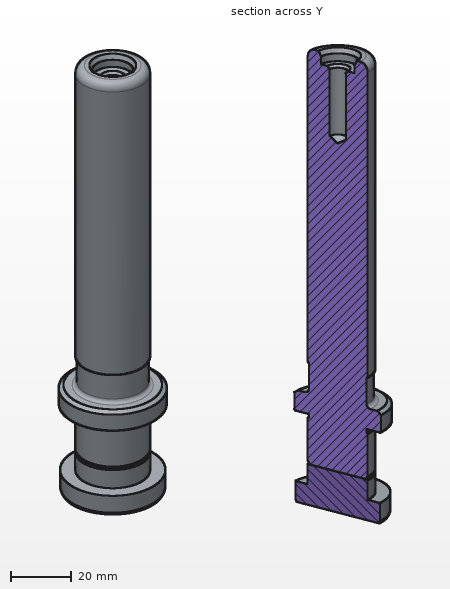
import cadquery as cq
import math

total_height = 162.0
flange_thickness = 7.5
spigot_top = 14.4
collar_bottom = 32.2
collar_top = 39.9
neck_top = 50.4

shank_radius = 12.5
neck_radius = 12.0
collar_radius = 18.0
flange_radius = 17.5

nose_fillet = 3.0
step_chamfer = shank_radius - neck_radius
lead_in_width = 1.0
lead_in_height = 1.3
undercut_height = 1.5
undercut_floor_height = 1.0
collar_fillet = 1.5
collar_chamfer_width = 1.6
collar_chamfer_height = 1.1
collar_lower_chamfer = 0.5

countersink_radius = 7.8
countersink_depth = 1.8
recess_radius = 6.8
recess_depth = 4.5
thread_mouth_radius = 4.2
thread_core_radius = 3.2
thread_depth = 29.2
drill_tip_angle = 120.0

flange_chamfer_width = 0.5
flange_chamfer_height = 1.0


def revolve_profile(profile):
    """Revolve a closed (radius, height) half section about the Z axis."""
    return profile.close().revolve(360, (0, 0, 0), (0, 1, 0))


def make_pillar_blank():
    """Guide pillar: mounting shank, collar, relieved neck and guide shank with a rounded nose."""
    arc_offset = 1 - math.sqrt(0.5)
    fillet_top = collar_top + collar_fillet
    profile = (
        cq.Workplane("XZ")
        .moveTo(0, spigot_top)
        .lineTo(shank_radius - lead_in_width, spigot_top)
        .lineTo(shank_radius, spigot_top + lead_in_height)
        .lineTo(shank_radius, collar_bottom - undercut_height)
        .lineTo(neck_radius, collar_bottom - undercut_floor_height)
        .lineTo(neck_radius, collar_bottom)
        .lineTo(collar_radius - collar_lower_chamfer, collar_bottom)
        .lineTo(collar_radius, collar_bottom + collar_lower_chamfer)
        .lineTo(collar_radius, collar_top - collar_chamfer_height)
        .lineTo(collar_radius - collar_chamfer_width, collar_top)
        .lineTo(neck_radius + collar_fillet, collar_top)
        .threePointArc(
            (neck_radius + collar_fillet * arc_offset, collar_top + collar_fillet * arc_offset),
            (neck_radius, fillet_top),
        )
        .lineTo(neck_radius, neck_top)
        .lineTo(shank_radius, neck_top + step_chamfer)
        .lineTo(shank_radius, total_height - nose_fillet)
        .threePointArc(
            (shank_radius - nose_fillet * arc_offset, total_height - nose_fillet * arc_offset),
            (shank_radius - nose_fillet, total_height),
        )
        .lineTo(0, total_height)
    )
    return revolve_profile(profile)


def make_nose_bore():
    """Countersunk recess followed by a chamfered blind hole with a drill-tip bottom."""
    recess_floor = total_height - recess_depth
    mouth_chamfer = thread_mouth_radius - thread_core_radius
    hole_bottom = total_height - thread_depth
    tip_height = thread_core_radius / math.tan(math.radians(drill_tip_angle / 2))
    profile = (
        cq.Workplane("XZ")
        .moveTo(0, total_height)
        .lineTo(countersink_radius, total_height)
        .lineTo(recess_radius, total_height - countersink_depth)
        .lineTo(recess_radius, recess_floor)
        .lineTo(thread_mouth_radius, recess_floor)
        .lineTo(thread_core_radius, recess_floor - mouth_chamfer)
        .lineTo(thread_core_radius, hole_bottom)
        .lineTo(0, hole_bottom - tip_height)
    )
    return revolve_profile(profile)


def make_end_flange():
    """Chamfered disc with a spigot on which the pillar stands."""
    profile = (
        cq.Workplane("XZ")
        .lineTo(flange_radius - flange_chamfer_width, 0)
        .lineTo(flange_radius, flange_chamfer_height)
        .lineTo(flange_radius, flange_thickness)
        .lineTo(shank_radius, flange_thickness)
        .lineTo(shank_radius, spigot_top)
        .lineTo(0, spigot_top)
    )
    return revolve_profile(profile)


pillar = make_pillar_blank().cut(make_nose_bore())
end_flange = make_end_flange()

result = cq.Compound.makeCompound([pillar.val(), end_flange.val()])